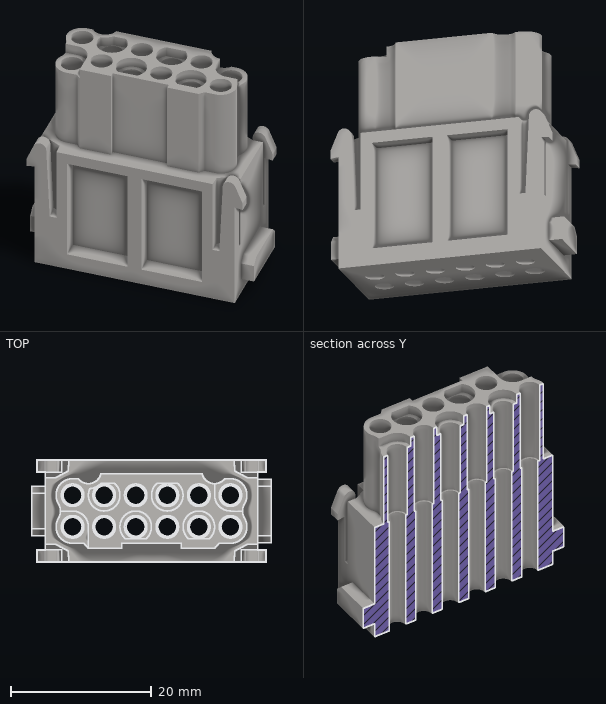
import cadquery as cq
import math

total_length = 34.2
total_height = 33.85
body_length = 30.3
body_width = 14.6
body_height = 20.08
half_length = body_length / 2
half_width = body_width / 2

column_count = 6
hole_span = 22.5
pitch = hole_span / (column_count - 1)
row_y = pitch / 2
end_x = hole_span / 2
hole_diameter = 2.7
bore_diameter = 3.2
bore_depth = total_height - body_height

lobe_radius = 2.35
plug_half_width = 5.3
lobe_edge_y = row_y + lobe_radius
waist_radius = 1.95
groove_radius = 1.85
groove_x = 2 * pitch
groove_y = 5.75
wedge_outer_x = 9.65
keyway_half_length = 4.25
keyway_floor_y = -lobe_edge_y

mouth_depth = 1.55
mouth_radius = row_y
mouth_flat_y = 3.97
groove_wall = 0.72

panel_length = 9.13
panel_bottom = 2.53
panel_top = 18.4
panel_depth = 2.5
panel_x = 5.6

latch_thickness = 1.75
latch_reach = 16.35
latch_tip_bottom = 16.6
latch_tip_top = 17.75
latch_root_z = 16.75
latch_head_radius = 1.0
latch_head_x = 14.33
latch_top = 21.0
latch_head_z = latch_top - latch_head_radius
latch_foot_x = 12.82
pocket_floor = 8.55
pocket_outer_x = 11.8
pocket_corner_x = 11.87
pocket_corner_y = 5.7
pocket_slant_x = 13.65
pocket_inner_y = 4.75

left_tab_width = 7.08
right_tab_width = 9.1
tab_bottom = 2.4
tab_top = 6.12
tab_chamfer = 1.03


def block(x_min, x_max, y_min, y_max, z_min, z_max):
    """Box given by its limits along the three axes."""
    size = (x_max - x_min, y_max - y_min, z_max - z_min)
    return cq.Workplane("XY").box(*size, centered=False).translate((x_min, y_min, z_min))


def cylinder(x, y, radius, z_min, z_max):
    """Upright cylinder between two heights."""
    return cq.Workplane("XY", origin=(x, y, z_min)).circle(radius).extrude(z_max - z_min)


def at_four_corners(shape):
    """The shape at the (-X, -Y) corner together with its three mirror images."""
    pair = shape.union(shape.mirror("YZ"))
    return pair.union(pair.mirror("XZ"))


def make_plug():
    """Four rounded corner lobes joined by a wide core, with waists, grooves and a keyway."""
    z_min = body_height
    z_max = total_height

    waist_offset = math.sqrt((lobe_radius + waist_radius) ** 2 - row_y**2)
    waist_x = end_x + waist_offset
    share = lobe_radius / (lobe_radius + waist_radius)
    tangent_x = end_x + waist_offset * share
    tangent_y = row_y * (1 - share)

    plug = block(-end_x, end_x, -lobe_edge_y, lobe_edge_y, z_min, z_max)
    plug = plug.union(block(-tangent_x, tangent_x, -tangent_y, tangent_y, z_min, z_max))
    for side in (-1, 1):
        for row in (-1, 1):
            plug = plug.union(cylinder(side * end_x, row * row_y, lobe_radius, z_min, z_max))
    plug = plug.union(block(-groove_x, groove_x, 0, plug_half_width, z_min, z_max))

    wedge_outline = [
        (-wedge_outer_x, -lobe_edge_y),
        (-groove_x, -plug_half_width),
        (groove_x, -plug_half_width),
        (wedge_outer_x, -lobe_edge_y),
    ]
    wedge = cq.Workplane("XY", origin=(0, 0, z_min)).polyline(wedge_outline).close()
    plug = plug.union(wedge.extrude(z_max - z_min))

    keyway = block(
        -keyway_half_length, keyway_half_length, -plug_half_width, keyway_floor_y, z_min, z_max
    )
    plug = plug.cut(keyway)
    for side in (-1, 1):
        plug = plug.cut(cylinder(side * waist_x, 0, waist_radius, z_min, z_max))
        plug = plug.cut(cylinder(side * groove_x, groove_y, groove_radius, z_min, z_max))
    return plug


def make_corner_step():
    """Sunken top of the (-X, -Y) lobe, open towards the outside."""
    z_min = total_height - mouth_depth
    z_max = total_height
    step = cylinder(-end_x, -row_y, row_y, z_min, z_max)
    step = step.union(block(-half_length, -end_x, -half_width, 0, z_min, z_max))
    return step.union(block(-half_length, -groove_x, -half_width, -row_y, z_min, z_max))


def make_inner_mouth(column):
    """Sunken round mouth in the +Y row with a flat towards the outer wall."""
    z_min = total_height - mouth_depth
    z_max = total_height
    x = column * pitch - end_x
    mouth = cylinder(x, row_y, mouth_radius, z_min, z_max)
    return mouth.intersect(block(x - pitch, x + pitch, -pitch, mouth_flat_y, z_min, z_max))


def make_mouths():
    """All sunken mouths: alternate columns of each row, the rows offset by one column."""
    step = make_corner_step()
    mouths = step.union(step.rotate((0, 0, 0), (0, 0, 1), 180))
    for column in (1, 3):
        mouth = make_inner_mouth(column)
        mouths = mouths.union(mouth.rotate((0, 0, 0), (0, 0, 1), 180))
        wall = cylinder(-groove_x, groove_y, groove_radius + groove_wall, 0, total_height)
        mouths = mouths.union(mouth.cut(wall))
    return mouths


def make_holes(radius, z_min, z_max):
    """One cylinder at every contact position."""
    holes = cq.Workplane("XY", origin=(0, 0, z_min))
    holes = holes.rarray(pitch, 2 * row_y, column_count, 2)
    return holes.circle(radius).extrude(z_max - z_min)


def make_panels():
    """Two rectangular recesses in each long side."""
    panels = cq.Workplane("XY")
    for x in (-panel_x, panel_x):
        panel = block(
            x - panel_length / 2, x + panel_length / 2,
            -half_width, -half_width + panel_depth,
            panel_bottom, panel_top,
        )
        panels = panels.union(panel).union(panel.mirror("XZ"))
    return panels


def make_pockets():
    """Corner pockets with one slanted wall, open at the top and on both outer sides."""
    outline = [
        (-half_length, -half_width),
        (-pocket_outer_x, -half_width),
        (-pocket_corner_x, -pocket_corner_y),
        (-pocket_slant_x, -pocket_inner_y),
        (-half_length, -pocket_inner_y),
    ]
    pocket = cq.Workplane("XY", origin=(0, 0, pocket_floor)).polyline(outline).close()
    return at_four_corners(pocket.extrude(body_height - pocket_floor))


def make_latches():
    """Tapered spring arms with a rounded head and a barbed tip."""
    run = latch_reach - latch_head_x
    drop = latch_head_z - latch_tip_top
    distance = math.hypot(run, drop)
    ramp_angle = math.atan2(-drop, -run) - math.acos(latch_head_radius / distance)
    ramp_end = (
        -latch_head_x + latch_head_radius * math.cos(ramp_angle),
        latch_head_z + latch_head_radius * math.sin(ramp_angle),
    )
    arm = (
        cq.Workplane("XZ", origin=(0, -half_width, 0))
        .moveTo(-half_length, pocket_floor)
        .lineTo(-half_length, latch_root_z)
        .lineTo(-latch_reach, latch_tip_bottom)
        .lineTo(-latch_reach, latch_tip_top)
        .lineTo(*ramp_end)
        .threePointArc(
            (-latch_head_x, latch_top),
            (-latch_head_x + latch_head_radius, latch_head_z),
        )
        .lineTo(-latch_foot_x, pocket_floor)
        .close()
        .extrude(-latch_thickness)
    )
    return at_four_corners(arm)


def make_tab(width, direction):
    """End tab with chamfered upper corners; direction is -1 or 1 along X."""
    tab = block(half_length, total_length / 2, -width / 2, width / 2, tab_bottom, tab_top)
    tab = tab.edges("|X and >Z").chamfer(tab_chamfer)
    return tab if direction > 0 else tab.mirror("YZ")


body = block(-half_length, half_length, -half_width, half_width, 0, body_height)
body = body.cut(make_panels())
body = body.cut(make_pockets())
body = body.union(make_latches())
body = body.union(make_plug())
body = body.union(make_tab(left_tab_width, -1))
body = body.union(make_tab(right_tab_width, 1))
body = body.cut(make_mouths())
body = body.cut(make_holes(hole_diameter / 2, 0, total_height))
result = body.cut(make_holes(bore_diameter / 2, total_height - bore_depth, total_height))